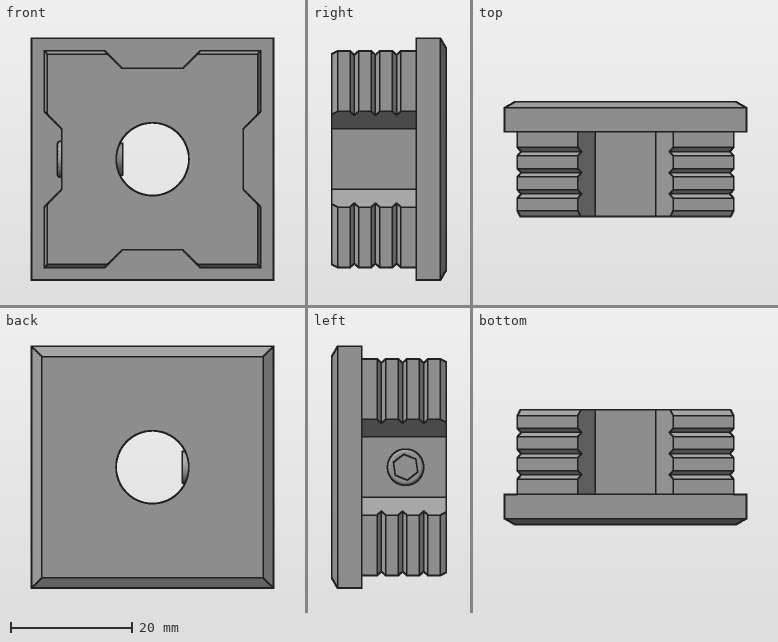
import cadquery as cq
import math

plate_side = 40.0
plate_thickness = 5.0
plate_bevel_depth = 1.0
plate_bevel_angle = 30.0
plate_bevel_width = plate_bevel_depth / math.tan(math.radians(plate_bevel_angle))

plug_side = 35.8
plug_length = 14.0
lead_in_length = 1.0
lead_in_width = 0.5
bore_diameter = 12.0

groove_count = 3
groove_pitch = 3.5
groove_width = 1.4
groove_depth = 0.65
first_groove_y = -3.25

recess_floor_height = 15.0
recess_depth = plug_side / 2 - recess_floor_height
recess_floor_width = 10.0
recess_mouth_width = recess_floor_width + 2 * recess_depth

screw_diameter = 6.0
screw_y = -7.25
screw_head_x = -15.7
screw_tip_x = -4.9
screw_edge_radius = 0.55
tip_diameter = 5.15
tip_length = 1.2
hex_across_corners = 4.3
hex_depth = 4.0
hex_turn = 38.0


def around_plug(tool):
    """Four copies of a tool, one for each side of the plug."""
    return [tool.rotate((0, 0, 0), (0, 1, 0), quarter * 90) for quarter in range(4)]


def square_frustum(base_side, base_y, end_side, end_y):
    """Solid between two squares centred on the Y axis."""
    return (
        cq.Workplane("XZ", origin=(0, base_y, 0))
        .rect(base_side, base_side)
        .workplane(offset=base_y - end_y)
        .rect(end_side, end_side)
        .loft(ruled=True)
    )


def square_block(side, front_y, back_y):
    """Square block centred on the Y axis."""
    return (
        cq.Workplane("XZ", origin=(0, back_y, 0))
        .rect(side, side)
        .extrude(back_y - front_y)
    )


def make_plate():
    """Square plate with its back edges bevelled."""
    bevel_y = plate_thickness - plate_bevel_depth
    back_side = plate_side - 2 * plate_bevel_width
    bevel = square_frustum(plate_side, bevel_y, back_side, plate_thickness)
    return square_block(plate_side, 0, bevel_y).union(bevel)


def make_plug():
    """Square plug block with a tapered lead-in at its free end."""
    lead_in_y = lead_in_length - plug_length
    front_side = plug_side - 2 * lead_in_width
    lead_in = square_frustum(plug_side, lead_in_y, front_side, -plug_length)
    return square_block(plug_side, lead_in_y, 0).union(lead_in)


def groove_cutter(center_y):
    """Triangular bar along X that cuts one V groove in the +Z side."""
    top = plug_side / 2
    return (
        cq.Workplane("YZ")
        .polyline([
            (center_y - groove_width / 2, top),
            (center_y + groove_width / 2, top),
            (center_y, top - groove_depth),
        ])
        .close()
        .extrude(plug_side / 2, both=True)
    )


def recess_cutter():
    """Trapezoidal bar along Y that cuts the recess in the +Z side."""
    top = plug_side / 2
    return (
        cq.Workplane("XZ")
        .polyline([
            (-recess_mouth_width / 2, top),
            (-recess_floor_width / 2, recess_floor_height),
            (recess_floor_width / 2, recess_floor_height),
            (recess_mouth_width / 2, top),
        ])
        .close()
        .extrude(plug_length)
    )


def make_screw_blank():
    """Screw without its socket: rounded outer edge and a tapered tip."""
    shank_length = screw_tip_x - screw_head_x - tip_length
    shank = (
        cq.Workplane("YZ", origin=(screw_head_x, screw_y, 0))
        .circle(screw_diameter / 2)
        .extrude(shank_length)
        .faces("<X")
        .edges()
        .fillet(screw_edge_radius)
    )
    tip = (
        cq.Workplane("YZ", origin=(screw_head_x + shank_length, screw_y, 0))
        .circle(screw_diameter / 2)
        .workplane(offset=tip_length)
        .circle(tip_diameter / 2)
        .loft(ruled=True)
    )
    return shank.union(tip)


def make_housing(screw_blank):
    """Plate and plug with grooves, recesses, bore and screw hole."""
    housing = make_plate().union(make_plug())
    for index in range(groove_count):
        for cutter in around_plug(groove_cutter(first_groove_y - index * groove_pitch)):
            housing = housing.cut(cutter)
    for cutter in around_plug(recess_cutter()):
        housing = housing.cut(cutter)
    bore = (
        cq.Workplane("XZ", origin=(0, plate_thickness, 0))
        .circle(bore_diameter / 2)
        .extrude(plate_thickness + plug_length)
    )
    return housing.cut(bore).cut(screw_blank)


def make_screw(screw_blank):
    """Set screw with a blind hexagon socket in its outer end."""
    socket = (
        cq.Workplane("YZ", origin=(screw_head_x, screw_y, 0))
        .polygon(6, hex_across_corners)
        .extrude(hex_depth)
        .rotate((0, screw_y, 0), (1, screw_y, 0), -hex_turn)
    )
    return screw_blank.cut(socket)


screw_blank = make_screw_blank()
housing = make_housing(screw_blank)
screw = make_screw(screw_blank)

result = cq.Compound.makeCompound([housing.solids().val(), screw.solids().val()])